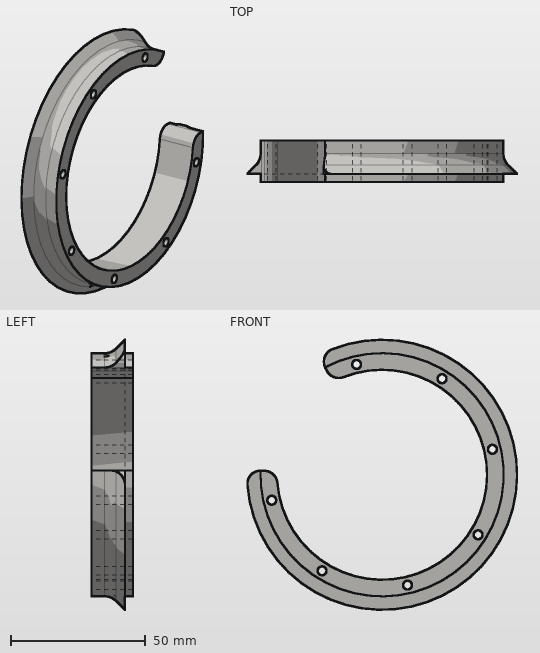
import cadquery as cq
import math

width = 15.5
inner_radius = 38.9
body_radius = 45.2
flange_radius = 50.2

flange_front_y = 3.0
flare_angle = math.radians(45)
blend_radius = 6.0
blend_end_y = 10.5

gap_center = 148.0
gap_angle = 60.0
end_fillet = 5.0

hole_diameter = 3.2
hole_count = 7
hole_pitch = 45.0
hole_circle_radius = (inner_radius + body_radius) / 2


def polar(radius, degrees):
    angle = math.radians(degrees)
    return radius * math.cos(angle), radius * math.sin(angle)


def blend_point(angle):
    """Point (radius, Y) on the blend arc, at an angle from its tangency with the body."""
    radius = body_radius + blend_radius * (1 - math.cos(angle))
    return radius, blend_end_y - blend_radius * math.sin(angle)


def make_full_ring():
    return (
        cq.Workplane("XY")
        .moveTo(inner_radius, 0)
        .lineTo(body_radius, 0)
        .lineTo(body_radius, flange_front_y)
        .lineTo(flange_radius, flange_front_y)
        .lineTo(*blend_point(flare_angle))
        .threePointArc(blend_point(flare_angle / 2), (body_radius, blend_end_y))
        .lineTo(body_radius, width)
        .lineTo(inner_radius, width)
        .close()
        .revolve(360, (0, 0), (0, 1))
    )


def make_open_outline():
    """C-shaped prism with rounded ends that limits the ring."""
    start = gap_center + gap_angle / 2
    end = gap_center - gap_angle / 2 + 360
    middle = (start + end) / 2
    return (
        cq.Workplane("XZ")
        .moveTo(*polar(inner_radius, start))
        .lineTo(*polar(flange_radius, start))
        .threePointArc(polar(flange_radius, middle), polar(flange_radius, end))
        .lineTo(*polar(inner_radius, end))
        .threePointArc(polar(inner_radius, middle), polar(inner_radius, start))
        .close()
        .extrude(-width)
        .edges("|Y")
        .fillet(end_fillet)
    )


def make_holes():
    first_angle = gap_center + 180 - hole_pitch * (hole_count - 1) / 2
    centers = [polar(hole_circle_radius, first_angle + i * hole_pitch) for i in range(hole_count)]
    return cq.Workplane("XZ").pushPoints(centers).circle(hole_diameter / 2).extrude(-width)


result = make_full_ring().intersect(make_open_outline()).cut(make_holes())